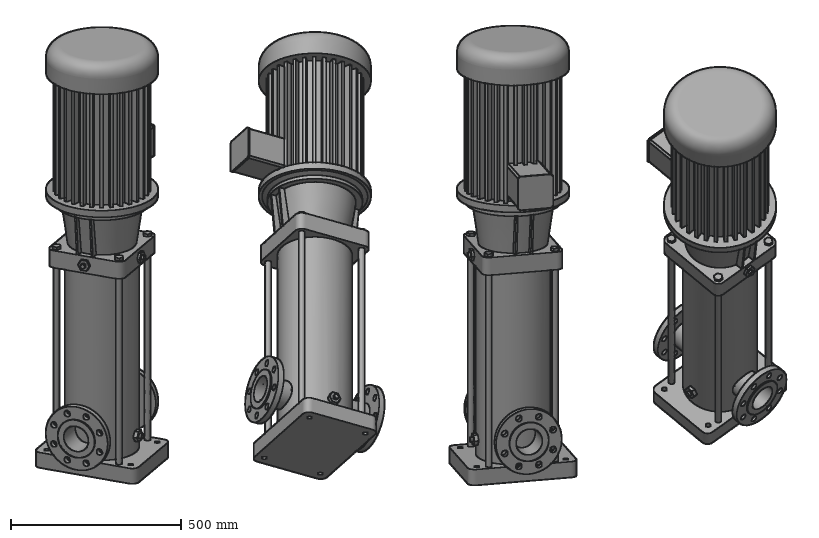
import cadquery as cq
import math


FOOT_TOP = 49.0
HEAD_BOTTOM = 645.0
HEAD_TOP = 699.0
BELL_TOP = 825.0
LIP_TOP = 837.0
MOTOR_FLANGE_BOTTOM = 845.0
MOTOR_FLANGE_TOP = 866.0
COVER_BOTTOM = 1236.0
TOTAL_HEIGHT = 1326.0

MOTOR_DIAMETER = 330.0
FOOT_LENGTH = MOTOR_DIAMETER
PLATE_WIDTH = 244.0
PLATE_CORNER_RADIUS = 21.0
FOOT_HOLE_DIAMETER = 15.0
FOOT_HOLE_X = 135.0
FOOT_HOLE_Y = 94.0

BARREL_DIAMETER = 220.0
ROD_DIAMETER = 19.0
ROD_OFFSET = 101.0
NUT_CORNER_DIAMETER = 27.0
NUT_HEIGHT = 8.0

PORT_HEIGHT = 140.0
PORT_REACH = 183.0
PORT_BORE_DIAMETER = 80.0
PORT_PIPE_DIAMETER = 88.0
PORT_FLANGE_DIAMETER = 200.0
PORT_FLANGE_INNER_Y = 160.0
RAISED_FACE_DIAMETER = 120.0
RAISED_FACE_HEIGHT = 4.0
BOLT_HOLE_DIAMETER = 19.0
BOLT_CIRCLE_DIAMETER = 159.0
BOLT_COUNT = 8

PLUG_ACROSS_FLATS = 32.0
PLUG_TIP_DIAMETER = 15.0
PLUG_TIP_LENGTH = 8.0
VENT_PLUG_HEX_LENGTH = 8.0
DRAIN_PLUG_HEX_LENGTH = 12.0
DRAIN_PLUG_HEIGHT = 102.0

BELL_BOTTOM_RADIUS = 102.0
BELL_TOP_RADIUS = 121.0
RIB_BOTTOM_Y = PLATE_WIDTH / 2
RIB_TOP_Y = 134.0
RIB_THICKNESS = 5.0
RIB_OFFSET = 24.0

FIN_OUTER_RADIUS = 143.0
FIN_ROOT_RADIUS = 122.0
FIN_THICKNESS = 9.0
FIN_COUNT = 30
LIP_RADIUS = 280.0 / 2
SKIRT_RADIUS = 155.0
COVER_EDGE_RADIUS = 41.0

BOX_WIDTH = 107.0
BOX_BOTTOM = 880.0
BOX_TOP = 984.0
BOX_REACH = 255.0
BOX_BEVEL_WIDTH = 7.0
BOX_BEVEL_HEIGHT = 5.0
BOX_LID_THICKNESS = 5.0
BOX_LID_OVERHANG = 1.0


def cylinder(diameter, bottom, top):
    return cq.Workplane("XY").workplane(offset=bottom).circle(diameter / 2).extrude(top - bottom)


def rounded_plate(length, bottom, top):
    plate = cq.Workplane("XY").workplane(offset=bottom).rect(length, PLATE_WIDTH).extrude(top - bottom)
    return plate.edges("|Z").fillet(PLATE_CORNER_RADIUS)


def make_foot():
    foot = rounded_plate(FOOT_LENGTH, 0, FOOT_TOP)
    holes = (
        cq.Workplane("XY")
        .rect(2 * FOOT_HOLE_X, 2 * FOOT_HOLE_Y, forConstruction=True)
        .vertices()
        .circle(FOOT_HOLE_DIAMETER / 2)
        .extrude(FOOT_TOP)
    )
    return foot.cut(holes)


def at_rod_positions(bottom):
    plane = cq.Workplane("XY").workplane(offset=bottom)
    return plane.rect(2 * ROD_OFFSET, 2 * ROD_OFFSET, forConstruction=True).vertices()


def make_tie_rods():
    rods = at_rod_positions(FOOT_TOP).circle(ROD_DIAMETER / 2).extrude(HEAD_BOTTOM - FOOT_TOP)
    nuts = at_rod_positions(HEAD_TOP).polygon(6, NUT_CORNER_DIAMETER).extrude(NUT_HEIGHT)
    return rods.union(nuts)


def make_port():
    """Flanged pipe pointing along -Y, bored as far as the barrel."""
    flange_face_y = PORT_REACH - RAISED_FACE_HEIGHT
    axis = cq.Workplane("XZ", origin=(0, 0, PORT_HEIGHT))
    pipe = axis.circle(PORT_PIPE_DIAMETER / 2).extrude(PORT_FLANGE_INNER_Y)
    flange = (
        axis.workplane(offset=PORT_FLANGE_INNER_Y)
        .circle(PORT_FLANGE_DIAMETER / 2)
        .extrude(flange_face_y - PORT_FLANGE_INNER_Y)
    )
    raised_face = (
        axis.workplane(offset=flange_face_y)
        .circle(RAISED_FACE_DIAMETER / 2)
        .extrude(RAISED_FACE_HEIGHT)
    )
    bore = axis.circle(PORT_BORE_DIAMETER / 2).extrude(PORT_REACH)
    bolt_step = 360 / BOLT_COUNT
    bolt_holes = (
        axis.polarArray(BOLT_CIRCLE_DIAMETER / 2, bolt_step / 2, 360, BOLT_COUNT)
        .circle(BOLT_HOLE_DIAMETER / 2)
        .extrude(PORT_REACH)
    )
    return pipe.union(flange).union(raised_face).cut(bore).cut(bolt_holes)


def make_plug(seat_radius, height, hex_length, turn):
    """Plug pointing along +X from the seat, then turned about Z by the given angle."""
    embed = 13.0
    hex_corner_diameter = PLUG_ACROSS_FLATS / math.cos(math.radians(30))
    start = cq.Workplane("YZ", origin=(seat_radius - embed, 0, height))
    hexagon = start.polygon(6, hex_corner_diameter).extrude(embed + hex_length)
    tip = start.circle(PLUG_TIP_DIAMETER / 2).extrude(embed + hex_length + PLUG_TIP_LENGTH)
    return hexagon.union(tip).rotate((0, 0, 0), (0, 0, 1), turn)


def make_bell():
    """Tapered bell with a pair of thin upright ribs at the front and at the back."""
    bell = (
        cq.Workplane("XZ")
        .moveTo(0, HEAD_TOP)
        .lineTo(BELL_BOTTOM_RADIUS, HEAD_TOP)
        .lineTo(BELL_TOP_RADIUS, BELL_TOP)
        .lineTo(0, BELL_TOP)
        .close()
        .revolve(360, (0, 0), (0, 1))
    )
    for side in (-1, 1):
        rib = (
            cq.Workplane("YZ", origin=(side * RIB_OFFSET, 0, 0))
            .moveTo(-RIB_BOTTOM_Y, HEAD_TOP)
            .lineTo(RIB_BOTTOM_Y, HEAD_TOP)
            .lineTo(RIB_TOP_Y, BELL_TOP)
            .lineTo(-RIB_TOP_Y, BELL_TOP)
            .close()
            .extrude(RIB_THICKNESS / 2, both=True)
        )
        bell = bell.union(rib)
    return bell


def make_motor_ends():
    """Mounting flange with its skirt and lip below, and the domed fan cover on top."""
    flange_and_skirt = (
        cq.Workplane("XZ")
        .moveTo(0, BELL_TOP)
        .lineTo(LIP_RADIUS, BELL_TOP)
        .lineTo(LIP_RADIUS, LIP_TOP)
        .lineTo(SKIRT_RADIUS, MOTOR_FLANGE_BOTTOM)
        .lineTo(MOTOR_DIAMETER / 2, MOTOR_FLANGE_BOTTOM)
        .lineTo(MOTOR_DIAMETER / 2, MOTOR_FLANGE_TOP)
        .lineTo(0, MOTOR_FLANGE_TOP)
        .close()
        .revolve(360, (0, 0), (0, 1))
    )
    cover = cylinder(MOTOR_DIAMETER, COVER_BOTTOM, TOTAL_HEIGHT)
    cover = cover.faces(">Z").edges().fillet(COVER_EDGE_RADIUS)
    return flange_and_skirt.union(cover)


def make_finned_body():
    body = cylinder(2 * FIN_ROOT_RADIUS, MOTOR_FLANGE_TOP, COVER_BOTTOM)
    fin_start = FIN_ROOT_RADIUS - FIN_THICKNESS
    fin_length = FIN_OUTER_RADIUS - fin_start
    fins = (
        cq.Workplane("XY")
        .workplane(offset=MOTOR_FLANGE_TOP)
        .polarArray(fin_start + fin_length / 2, -90, 360, FIN_COUNT)
        .rect(fin_length, FIN_THICKNESS)
        .extrude(COVER_BOTTOM - MOTOR_FLANGE_TOP)
    )
    return body.union(fins)


def box_section(inset, start_y, end_y):
    """Bevelled rectangular bar along Y, inset all round from the lid outline."""
    half_width = BOX_WIDTH / 2 - inset
    bottom = BOX_BOTTOM + inset
    top = BOX_TOP - inset
    inner_half_width = half_width - BOX_BEVEL_WIDTH
    return (
        cq.Workplane("XZ", origin=(0, start_y, 0))
        .moveTo(-inner_half_width, bottom)
        .lineTo(inner_half_width, bottom)
        .lineTo(half_width, bottom + BOX_BEVEL_HEIGHT)
        .lineTo(half_width, top - BOX_BEVEL_HEIGHT)
        .lineTo(inner_half_width, top)
        .lineTo(-inner_half_width, top)
        .lineTo(-half_width, top - BOX_BEVEL_HEIGHT)
        .lineTo(-half_width, bottom + BOX_BEVEL_HEIGHT)
        .close()
        .extrude(start_y - end_y)
    )


def make_terminal_box():
    """Box closed at its outer end by a lid that overhangs it slightly."""
    lid_start = BOX_REACH - BOX_LID_THICKNESS
    box = box_section(BOX_LID_OVERHANG, 0, lid_start)
    lid = box_section(0, lid_start, BOX_REACH)
    return box.union(lid)


front_port = make_port()
rear_port = front_port.mirror("XZ")
barrel = cylinder(BARREL_DIAMETER, FOOT_TOP, HEAD_BOTTOM)
pump_head = rounded_plate(PLATE_WIDTH, HEAD_BOTTOM, HEAD_TOP)
result = front_port.union(rear_port).union(barrel).union(make_foot()).union(pump_head)
result = result.union(make_tie_rods())

for turn in (0, 180):
    drain_plug = make_plug(BARREL_DIAMETER / 2, DRAIN_PLUG_HEIGHT, DRAIN_PLUG_HEX_LENGTH, turn)
    result = result.union(drain_plug)
head_middle = (HEAD_BOTTOM + HEAD_TOP) / 2
for turn in (0, -90):
    vent_plug = make_plug(PLATE_WIDTH / 2, head_middle, VENT_PLUG_HEX_LENGTH, turn)
    result = result.union(vent_plug)

motor = make_motor_ends().union(make_finned_body()).union(make_terminal_box())
result = result.union(make_bell()).union(motor)